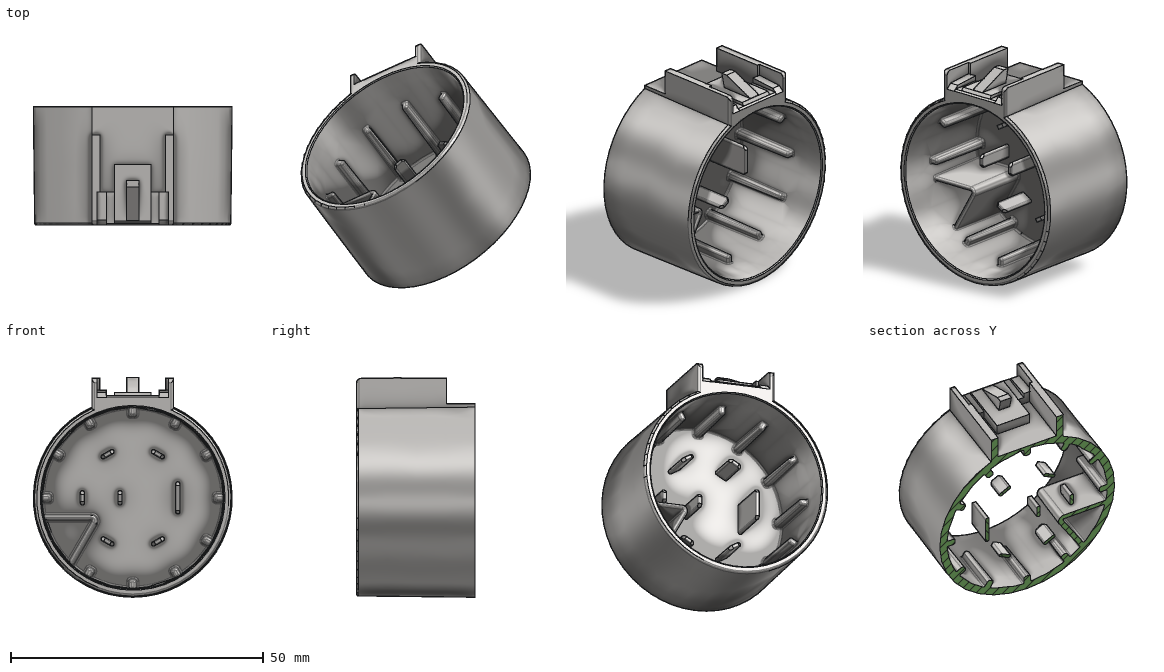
import cadquery as cq
import math

DEPTH = 23.5
TOTAL_HEIGHT = 43.6

OUTER_RADIUS_BACK = 19.725
OUTER_RADIUS_FRONT = 19.465
RIM_FILLET = 0.45
INNER_RADIUS_FRONT = 18.1
INNER_RADIUS_FLOOR = 17.87
RIM_CHAMFER = 0.2
FLOOR_THICKNESS = 1.7
FLOOR_FILLET = 0.4
ROOT_FILLET = 0.25
FLOOR_Y = DEPTH - FLOOR_THICKNESS

HOOD_HALF_WIDTH = 8.1
HOOD_LENGTH = 17.87
HOOD_TOP = 23.7
HOOD_BOTTOM = 15.25
HOOD_SIDE_FILLET = 0.5
HOOD_TOP_FILLET = 0.95
CHANNEL_HALF_WIDTH = 6.55
DECK_Z = 18.65

BAR_LENGTH = 6.55
BAR_TOP = 20.3
BAR_CHAMFER = 0.35
PAD_INNER_X = 5.25
PAD_OUTER_X = 7.1
PAD_FRONT_Z = 19.9
PAD_NOSE_Y = 1.05
PAD_NOSE_Z = 20.92
PAD_BACK_Z = 21.35

TONGUE_HALF_WIDTH = 3.65
TONGUE_TOP = 20.92
TONGUE_FRONT_Y = 0.4
TONGUE_NOSE_Y = 0.87
TONGUE_BACK_Y = 12.0
CATCH_HALF_WIDTH = 1.2
CATCH_TOP = TOTAL_HEIGHT - OUTER_RADIUS_BACK
CATCH_FRONT_Y = 0.95
CATCH_PEAK_Y = 7.55
CATCH_BACK_Y = 8.85
CATCH_FOOT_BACK_Y = 8.15

RIB_PITCH = 30
RIB_MISSING_ANGLE = 210
RIB_CREST_RADIUS = 16.1
RIB_WIDTH = 1.65
RIB_FRONT_Y = 7.7
RIB_CREST_FILLET = 0.52
RIB_TIP_FILLET = 0.4
RIB_DRAFT = 0.8

V_APEX_X = -6.97
V_APEX_Z = -3.9
V_ANGLE = 60.0
V_THICKNESS = 1.2
V_BEND_RADIUS = 0.75
V_FRONT_Y = 8.35
V_TIP_FILLET = 0.4
V_DRAFT = 0.8

BLADE_THICKNESS = 0.87
BLADE_DRAFT = 0.3
BLADE_EDGE_FILLET = 0.17
BLADE_TIP_CHAMFER = 0.75
SHORT_BLADE_LENGTH = 2.88
SHORT_BLADE_FRONT_Y = 13.77
LONG_BLADE_LENGTH = 6.4
LONG_BLADE_FRONT_Y = 11.85
BLADE_CIRCLE_RADIUS = 10.0
BLADE_CIRCLE_ANGLES = [60, 120, 180, 240, 300]
INNER_BLADE_X = -2.55
LONG_BLADE_X = 8.95

MARGIN = 2.2


def xz_plane(y):
    """Workplane facing the open front (-Y), with local x and y along X and Z."""
    return cq.Workplane("XZ", origin=(0, y, 0))


def box(x_min, x_max, y_min, y_max, z_min, z_max):
    """Axis-aligned box between the given limits."""
    size = (x_max - x_min, y_max - y_min, z_max - z_min)
    return cq.Workplane("XY").box(*size, centered=False).translate((x_min, y_min, z_min))


def side_profile(points, x_min, x_max):
    """Solid with a (Y, Z) outline, running from x_min to x_max."""
    return cq.Workplane("YZ", origin=(x_min, 0, 0)).polyline(points).close().extrude(x_max - x_min)


def turned(points):
    """Solid of revolution around the Y axis from a (radius, Y) outline."""
    return cq.Workplane("XY").polyline(points).close().revolve(360, (0, 0, 0), (0, 1, 0))


def make_cup():
    """Solid drafted drum, rounded at the front and flattened on top to the deck height."""
    drum = turned([
        (0, 0),
        (OUTER_RADIUS_FRONT, 0),
        (OUTER_RADIUS_BACK, DEPTH),
        (0, DEPTH),
    ])
    drum = drum.faces("<Y").edges().fillet(RIM_FILLET)
    cap = box(-HOOD_HALF_WIDTH, HOOD_HALF_WIDTH, 0, DEPTH, DECK_Z, OUTER_RADIUS_BACK + MARGIN)
    deck = box(-HOOD_HALF_WIDTH, HOOD_HALF_WIDTH, HOOD_LENGTH / 2, DEPTH, HOOD_BOTTOM, DECK_Z)
    return drum.cut(cap).union(deck)


def make_hood():
    """Two guide walls with a channel between them, wider at the front beside the pads."""
    hood = box(-HOOD_HALF_WIDTH, HOOD_HALF_WIDTH, 0, HOOD_LENGTH, HOOD_BOTTOM, HOOD_TOP)
    round_top = hood.faces("<Y").edges(">Z").fillet(HOOD_TOP_FILLET)
    round_sides = hood.faces("<Y").edges("|Z").fillet(HOOD_SIDE_FILLET)
    hood = round_top.intersect(round_sides)
    above = HOOD_TOP + MARGIN
    channel = box(-CHANNEL_HALF_WIDTH, CHANNEL_HALF_WIDTH, 0, HOOD_LENGTH, DECK_Z, above)
    front_channel = box(-PAD_OUTER_X, PAD_OUTER_X, 0, BAR_LENGTH, DECK_Z, above)
    return hood.cut(channel).cut(front_channel)


def make_bar():
    """Cross bar at the front of the hood, between the pads."""
    points = [
        (0, HOOD_BOTTOM),
        (0, BAR_TOP - BAR_CHAMFER),
        (BAR_CHAMFER, BAR_TOP),
        (BAR_LENGTH, BAR_TOP),
        (BAR_LENGTH, HOOD_BOTTOM),
    ]
    return side_profile(points, -PAD_INNER_X, PAD_INNER_X)


def make_pads():
    """Ramped pads between the bar and the guide walls."""
    points = [
        (0, HOOD_BOTTOM),
        (0, PAD_FRONT_Z),
        (PAD_NOSE_Y, PAD_NOSE_Z),
        (BAR_LENGTH, PAD_BACK_Z),
        (BAR_LENGTH, HOOD_BOTTOM),
    ]
    pad = side_profile(points, PAD_INNER_X, PAD_OUTER_X)
    return pad.union(pad.mirror("YZ"))


def make_tongue():
    """Raised tongue with a chamfered nose and a wedge-shaped catch on top."""
    tongue_points = [
        (TONGUE_FRONT_Y, HOOD_BOTTOM),
        (TONGUE_FRONT_Y, BAR_TOP),
        (TONGUE_NOSE_Y, TONGUE_TOP),
        (TONGUE_BACK_Y, TONGUE_TOP),
        (TONGUE_BACK_Y, HOOD_BOTTOM),
    ]
    catch_points = [
        (CATCH_FRONT_Y, TONGUE_TOP),
        (CATCH_PEAK_Y, CATCH_TOP),
        (CATCH_BACK_Y, CATCH_TOP),
        (CATCH_FOOT_BACK_Y, TONGUE_TOP),
    ]
    tongue = side_profile(tongue_points, -TONGUE_HALF_WIDTH, TONGUE_HALF_WIDTH)
    catch = side_profile(catch_points, -CATCH_HALF_WIDTH, CATCH_HALF_WIDTH)
    return tongue.union(catch)


def make_rib(angle):
    """Drafted rib with a rounded crest and tip; its root runs on into the cup wall."""
    root_radius = OUTER_RADIUS_BACK
    rib = (
        xz_plane(FLOOR_Y)
        .center((RIB_CREST_RADIUS + root_radius) / 2, 0)
        .rect(root_radius - RIB_CREST_RADIUS, RIB_WIDTH)
        .extrude(FLOOR_Y - RIB_FRONT_Y, taper=RIB_DRAFT)
    )
    rib = rib.faces("<X").edges("<Z or >Z").fillet(RIB_CREST_FILLET)
    rib = rib.faces("<Y").edges().fillet(RIB_TIP_FILLET)
    return rib.rotate((0, 0, 0), (0, -1, 0), angle)


def make_v_wall():
    """Drafted V wall with a rounded bend; both arms run on into the cup wall."""
    angle = math.radians(V_ANGLE)
    half = V_THICKNESS / 2
    bend_setback = V_BEND_RADIUS / math.tan(angle / 2)
    bend_x = V_APEX_X - bend_setback
    bend_z = V_APEX_Z - V_BEND_RADIUS
    outer = V_BEND_RADIUS + half
    inner = V_BEND_RADIUS - half
    arm = OUTER_RADIUS_BACK

    along = (-math.cos(angle), -math.sin(angle))
    across = (math.sin(angle), -math.cos(angle))
    middle = (math.cos(angle / 2), math.sin(angle / 2))

    def on_slope(offset, distance):
        return (
            bend_x + across[0] * offset + along[0] * distance,
            bend_z + across[1] * offset + along[1] * distance,
        )

    def on_bend(radius):
        return bend_x + middle[0] * radius, bend_z + middle[1] * radius

    wall = (
        xz_plane(FLOOR_Y)
        .moveTo(bend_x - arm, bend_z + outer)
        .lineTo(bend_x, bend_z + outer)
        .threePointArc(on_bend(outer), on_slope(outer, 0))
        .lineTo(*on_slope(outer, arm))
        .lineTo(*on_slope(inner, arm))
        .lineTo(*on_slope(inner, 0))
        .threePointArc(on_bend(inner), (bend_x, bend_z + inner))
        .lineTo(bend_x - arm, bend_z + inner)
        .close()
        .extrude(FLOOR_Y - V_FRONT_Y, taper=V_DRAFT)
    )
    return wall.faces("<Y").edges().fillet(V_TIP_FILLET)


def make_cavity():
    """Inside space of the cup: a drafted bore less the ribs and the V wall."""
    cavity = turned([
        (0, 0),
        (INNER_RADIUS_FRONT + RIM_CHAMFER, 0),
        (INNER_RADIUS_FRONT, RIM_CHAMFER),
        (INNER_RADIUS_FLOOR, FLOOR_Y),
        (0, FLOOR_Y),
    ])
    for angle in range(0, 360, RIB_PITCH):
        if angle != RIB_MISSING_ANGLE:
            cavity = cavity.cut(make_rib(angle))
    cavity = cavity.cut(make_v_wall())

    bore = max(cavity.faces("%CONE").vals(), key=lambda face: face.Area())
    first_y = RIM_CHAMFER + ROOT_FILLET
    last_y = FLOOR_Y - FLOOR_FILLET
    roots = [edge for edge in bore.Edges() if first_y < edge.Center().y < last_y]
    cavity = cavity.newObject(roots).fillet(ROOT_FILLET)
    return cavity.faces(">Y").edges().fillet(FLOOR_FILLET)


def make_housing():
    """Cup with its hood, hollowed out by the cavity."""
    body = make_cup().union(make_hood())
    body = body.union(make_bar()).union(make_pads()).union(make_tongue())
    return body.cut(make_cavity())


def make_blade(length, front_y):
    """Upright blade with round ends, a rounded tip edge and chamfered tip corners, centred on the Y axis."""
    blade = (
        xz_plane(FLOOR_Y)
        .slot2D(length, BLADE_THICKNESS, 90)
        .extrude(FLOOR_Y - front_y, taper=BLADE_DRAFT)
    )
    blade = blade.faces("<Y").edges().fillet(BLADE_EDGE_FILLET)
    end = length / 2
    outline = [
        (FLOOR_Y, -end),
        (FLOOR_Y, end),
        (front_y + BLADE_TIP_CHAMFER, end),
        (front_y, end - BLADE_TIP_CHAMFER),
        (front_y, BLADE_TIP_CHAMFER - end),
        (front_y + BLADE_TIP_CHAMFER, -end),
    ]
    return blade.intersect(side_profile(outline, -BLADE_THICKNESS, BLADE_THICKNESS))


def make_circle_blade(angle):
    """Short blade on the blade circle, lying along the circle."""
    blade = make_blade(SHORT_BLADE_LENGTH, SHORT_BLADE_FRONT_Y)
    return blade.translate((BLADE_CIRCLE_RADIUS, 0, 0)).rotate((0, 0, 0), (0, -1, 0), angle)


housing = make_housing()
circle_blades = [make_circle_blade(angle) for angle in BLADE_CIRCLE_ANGLES]
inner_blade = make_blade(SHORT_BLADE_LENGTH, SHORT_BLADE_FRONT_Y).translate((INNER_BLADE_X, 0, 0))
long_blade = make_blade(LONG_BLADE_LENGTH, LONG_BLADE_FRONT_Y).translate((LONG_BLADE_X, 0, 0))

result = cq.Compound.makeCompound([
    housing.val(),
    *[blade.val() for blade in circle_blades],
    inner_blade.val(),
    long_blade.val(),
])